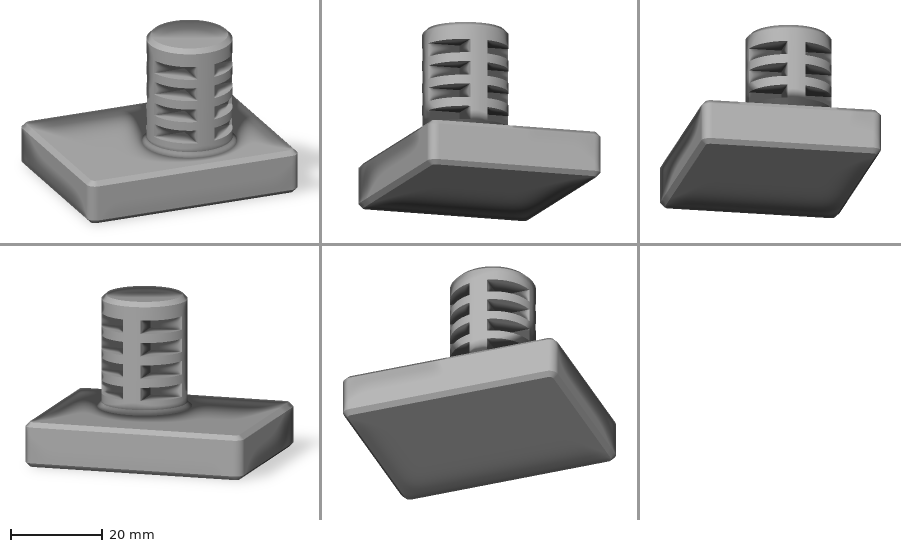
import cadquery as cq

base_length_x = 40.0
base_length_y = 50.0
base_height = 10.0
corner_radius = 2.0
edge_chamfer = 1.0

total_height = 35.0
post_diameter = 18.9
post_x = 5.0
post_y = 5.0

slot_count = 4
slot_height = 3.0
slot_pitch = 5.0
first_slot_height = 3.0
web_thickness = 4.0

post_radius = post_diameter / 2
post_height = total_height - base_height


def make_base():
    """Rounded plate with chamfered top and bottom edges, underside at Z = 0."""
    plate = cq.Workplane("XY").box(
        base_length_x, base_length_y, base_height, centered=(True, True, False)
    )
    plate = plate.edges("|Z").fillet(corner_radius)
    return plate.faces("<Z or >Z").edges().chamfer(edge_chamfer)


def make_post():
    """Round post with a flared foot and a chamfered top, on its own axis."""
    cylinder = (
        cq.Workplane("XY")
        .workplane(offset=base_height)
        .circle(post_radius)
        .extrude(post_height)
        .faces(">Z")
        .edges()
        .chamfer(edge_chamfer)
    )
    foot = cq.Solid.makeCone(
        post_radius + edge_chamfer, post_radius, edge_chamfer, pnt=cq.Vector(0, 0, base_height)
    )
    return cylinder.union(cq.Workplane(foot))


def cut_slots(post):
    """Cut the four quadrants around the webs at every slot level."""
    block_size = post_diameter
    block_offset = (web_thickness + block_size) / 2
    for level in range(slot_count):
        blocks = (
            cq.Workplane("XY")
            .workplane(offset=base_height + first_slot_height + level * slot_pitch)
            .rect(2 * block_offset, 2 * block_offset, forConstruction=True)
            .vertices()
            .rect(block_size, block_size)
            .extrude(slot_height)
        )
        post = post.cut(blocks)
    return post


slotted_post = cut_slots(make_post()).translate((post_x, post_y, 0))
result = make_base().union(slotted_post)